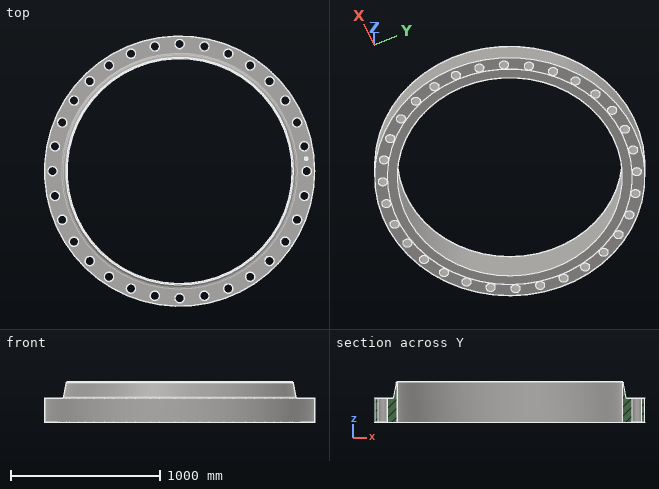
import cadquery as cq
import math

flange_diameter = 1809.75
flange_thickness = 162.0
face_diameter = 1638.3
face_height = 1.6
overall_height = 273.13

bore_diameter = 1504.95
weld_end_diameter = 1524.0
weld_land = 1.6
weld_bevel_angle = 37.5
straight_height = 6.35
hub_base_diameter = 1562.1
fillet_radius = 9.5

bolt_circle_diameter = 1701.8
bolt_hole_diameter = 60.3
bolt_hole_count = 32

tap_hole_diameter = 14.0
tap_hole_depth = 30.0
tap_countersink_diameter = 24.0
tap_countersink_angle = 90.0
tap_drill_point_angle = 118.0

flange_top = face_height + flange_thickness


def revolved_body():
    """Flange, raised face, tapered hub and weld bevel as one revolved profile."""
    bore_radius = bore_diameter / 2
    land_radius = bore_radius + weld_land
    weld_end_radius = weld_end_diameter / 2
    bevel_height = (weld_end_radius - land_radius) * math.tan(math.radians(weld_bevel_angle))
    bevel_bottom = overall_height - bevel_height
    taper_top = bevel_bottom - straight_height
    profile = (
        cq.Workplane("XZ")
        .moveTo(bore_radius, 0)
        .lineTo(face_diameter / 2, 0)
        .lineTo(face_diameter / 2, face_height)
        .lineTo(flange_diameter / 2, face_height)
        .lineTo(flange_diameter / 2, flange_top)
        .lineTo(hub_base_diameter / 2, flange_top)
        .lineTo(weld_end_radius, taper_top)
        .lineTo(weld_end_radius, bevel_bottom)
        .lineTo(land_radius, overall_height)
        .lineTo(bore_radius, overall_height)
        .close()
    )
    return profile.revolve(360, (0, 0, 0), (0, 1, 0))


def fillet_hub_base(body):
    """Round the inside corner where the hub meets the flange."""
    selection_margin = 1.0
    half_hub = hub_base_diameter / 2 + selection_margin
    corner = cq.selectors.BoxSelector(
        (-half_hub, -half_hub, flange_top - selection_margin),
        (half_hub, half_hub, flange_top + selection_margin),
        boundingbox=True,
    )
    return body.edges(corner).fillet(fillet_radius)


def bolt_holes():
    """Through holes evenly spaced on the bolt circle, the first on +X."""
    return (
        cq.Workplane("XY")
        .polarArray(bolt_circle_diameter / 2, 0, 360, bolt_hole_count)
        .circle(bolt_hole_diameter / 2)
        .extrude(overall_height)
    )


def tap_hole():
    """Countersunk, drill-pointed blind hole on the bolt circle, half a bolt spacing from +X."""
    hole_radius = tap_hole_diameter / 2
    mouth_radius = tap_countersink_diameter / 2
    countersink_depth = (mouth_radius - hole_radius) / math.tan(math.radians(tap_countersink_angle / 2))
    point_depth = hole_radius / math.tan(math.radians(tap_drill_point_angle / 2))
    half_spacing = 180 / bolt_hole_count
    profile = (
        cq.Workplane("XZ")
        .moveTo(0, 0)
        .lineTo(mouth_radius, 0)
        .lineTo(hole_radius, -countersink_depth)
        .lineTo(hole_radius, -tap_hole_depth)
        .lineTo(0, -tap_hole_depth - point_depth)
        .close()
    )
    cutter = profile.revolve(360, (0, 0, 0), (0, 1, 0))
    placed = cutter.translate((bolt_circle_diameter / 2, 0, flange_top))
    return placed.rotate((0, 0, 0), (0, 0, 1), half_spacing)


result = fillet_hub_base(revolved_body()).cut(bolt_holes()).cut(tap_hole())